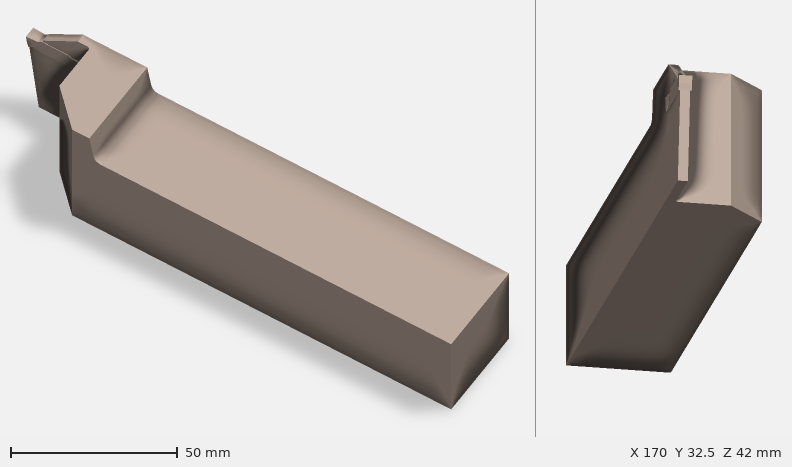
import cadquery as cq

total_length = 170.0
shank_side = 32.0
head_height = 42.0

nose_bottom_x = 4.2
nose_top_x = 0.8
jaw_tip_x = 5.8
jaw_tip_top_z = 33.7
head_top_start_x = 18.2
head_top_end_x = 41.0
head_foot_x = 42.8
head_foot_radius = 2.7

blade_thickness = 3.0
blade_front_y = shank_side - blade_thickness
blade_root_x = 22.6
blade_root_radius = 1.0
corner_chamfer_x = 12.2
corner_chamfer_y = 11.9

insert_bottom_z = 27.5
end_top_z = 32.1
bar_top_z = 33.0
insert_rear_x = 20.5
end_length = 4.2
end_relief = 0.8
flank_lean = 0.3
flank_kink_z = 29.8
end_side_height = 2.5
bar_ramp_length = 1.4
bar_width = 3.4
end_inner_width = 3.5
tip_width = 4.0
insert_center_y = blade_front_y + blade_thickness / 2
slit_top_z = 32.6
slit_end_x = blade_root_x - blade_root_radius


def extrude_along_y(points, y_start, width):
    """Extrude an X-Z outline from y_start towards +Y."""
    plane = cq.Workplane("XZ", origin=(0, y_start, 0))
    return plane.polyline(points).close().extrude(-width)


def end_x(distance, at_rear):
    """X position at a distance inward from the front or rear insert tip."""
    return insert_rear_x - distance if at_rear else distance


def make_bar():
    """Bar joining the cutting ends, as deep as the seat."""
    points = [
        (0, end_top_z),
        (flank_lean, flank_kink_z),
        (end_relief, insert_bottom_z),
        (insert_rear_x, insert_bottom_z),
        (insert_rear_x, end_top_z),
        (insert_rear_x - end_length, end_top_z),
        (insert_rear_x - end_length - bar_ramp_length, bar_top_z),
        (end_length + bar_ramp_length, bar_top_z),
        (end_length, end_top_z),
    ]
    return extrude_along_y(points, insert_center_y - bar_width / 2, bar_width)


def make_cutting_end(at_rear):
    """Cutting end, widest at its tip and narrowing towards the bar."""
    side_points = [
        (end_x(0, at_rear), end_top_z),
        (end_x(flank_lean, at_rear), flank_kink_z),
        (end_x(end_relief, at_rear), insert_bottom_z),
        (end_x(end_length, at_rear), end_top_z - end_side_height),
        (end_x(end_length, at_rear), end_top_z),
    ]
    side = extrude_along_y(side_points, insert_center_y - tip_width / 2, tip_width)
    plan_points = [
        (end_x(0, at_rear), insert_center_y - tip_width / 2),
        (end_x(end_length, at_rear), insert_center_y - end_inner_width / 2),
        (end_x(end_length, at_rear), insert_center_y + end_inner_width / 2),
        (end_x(0, at_rear), insert_center_y + tip_width / 2),
    ]
    plan = cq.Workplane("XY").polyline(plan_points).close().extrude(head_height)
    return side.intersect(plan)


def make_insert():
    """Double-ended cutting insert."""
    insert = make_bar()
    for at_rear in (False, True):
        insert = insert.union(make_cutting_end(at_rear))
    return insert


def make_holder_blank():
    """Shank and raised head over the full width."""
    points = [
        (nose_bottom_x, 0),
        (total_length, 0),
        (total_length, shank_side),
        (head_foot_x, shank_side),
        (head_top_end_x, head_height),
        (head_top_start_x, head_height),
        (jaw_tip_x, jaw_tip_top_z),
        (jaw_tip_x, end_top_z),
        (nose_top_x, insert_bottom_z),
    ]
    blank = extrude_along_y(points, 0, shank_side)
    foot = cq.selectors.NearestToPointSelector((head_foot_x, shank_side / 2, shank_side))
    return blank.edges(foot).fillet(head_foot_radius)


def make_blade_relief():
    """Space beside the blade, with its rounded root and the chamfered corner."""
    return (
        cq.Workplane("XY")
        .lineTo(blade_root_x + corner_chamfer_x, 0)
        .lineTo(blade_root_x, corner_chamfer_y)
        .lineTo(blade_root_x, blade_front_y - blade_root_radius)
        .radiusArc((blade_root_x - blade_root_radius, blade_front_y), -blade_root_radius)
        .lineTo(0, blade_front_y)
        .close()
        .extrude(head_height)
    )


def make_seat():
    """Opening through the blade that holds the insert, with the slit behind it."""
    slit_start_x = insert_rear_x - end_length
    slit_points = [
        (slit_start_x, end_top_z),
        (slit_end_x, end_top_z),
        (slit_end_x, slit_top_z),
        (slit_start_x, slit_top_z),
    ]
    slit = extrude_along_y(slit_points, 0, shank_side)
    front_points = [
        (0, insert_bottom_z),
        (jaw_tip_x, insert_bottom_z),
        (jaw_tip_x, bar_top_z),
        (0, bar_top_z),
    ]
    front_opening = extrude_along_y(front_points, 0, shank_side)
    return slit.union(front_opening)


insert = make_insert()
holder = make_holder_blank().cut(make_blade_relief()).cut(make_seat()).cut(insert)

result = cq.Compound.makeCompound([holder.solids().val(), insert.solids().val()])